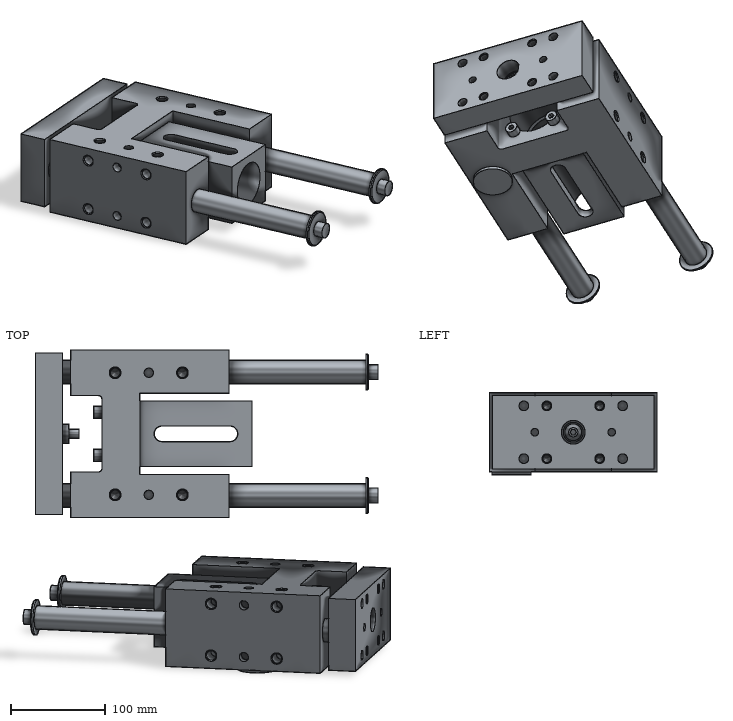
import cadquery as cq
import math


PLATE_LENGTH = 29.0
PLATE_WIDTH = 171.8
PLATE_HEIGHT = 78.0

HOUSING_START = 37.5
HOUSING_LENGTH = 168.0
HOUSING_WIDTH = 178.0
HOUSING_HEIGHT = 84.0
HOUSING_END = HOUSING_START + HOUSING_LENGTH

WEB_START = 70.5
WEB_END = 111.0
FRONT_POCKET_WIDTH = 80.8
FRONT_POCKET_RADIUS = 3.5
REAR_POCKET_WIDTH = 86.0
WEB_BORE_DIAMETER = 56.0

CLAMP_END = 230.0
CLAMP_WIDTH = 70.0
CLAMP_HEIGHT = 65.0
CLAMP_BORE_DIAMETER = 47.5
CLAMP_SLOT_START = 126.3
CLAMP_SLOT_END = 214.8
CLAMP_SLOT_WIDTH = 16.5

WEB_SCREW_OFFSET = 23.0
WEB_SCREW_HEAD_DIAMETER = 13.0
WEB_SCREW_HEAD_LENGTH = 8.7
WEB_SCREW_SOCKET_DIAMETER = 6.0
WEB_SCREW_SOCKET_DEPTH = 4.5

COVER_X = 111.0
COVER_DIAMETER = 41.5
COVER_THICKNESS = 3.3

TOTAL_LENGTH = 364.0
ROD_OFFSET = 65.5
ROD_DIAMETER = 25.0
WASHER_START = 351.0
WASHER_THICKNESS = 3.0
WASHER_DIAMETER = 38.0
WASHER_CHAMFER = 1.0
ROD_SCREW_HEAD_DIAMETER = 16.0

HOLE_ROW_X = 120.5
HOLE_ROW_PITCH = 35.5
TOP_HOLE_OFFSET = 64.8
HOLE_OFFSET_Z = 28.0
TAP_DIAMETER = 10.2
TAP_MOUTH_DIAMETER = 12.5
TAP_DEPTH = 22.0
DOWEL_DIAMETER = 10.0
DOWEL_DEPTH = 11.0

PLATE_HOLE_OFFSET_Y = 52.5
PLATE_HOLE_DIAMETER = 10.2
PLATE_HOLE_DEPTH = 14.5
PLATE_TAP_OFFSET_Y = 28.0
PLATE_TAP_DIAMETER = 8.5
PLATE_TAP_MOUTH_DIAMETER = 10.2
PLATE_TAP_DEPTH = 18.2
PLATE_DOWEL_OFFSET_Y = 40.8
PLATE_DOWEL_DIAMETER = 8.0
PLATE_DOWEL_DEPTH = 11.0

RECESS_DIAMETER = 25.0
RECESS_STEP_DIAMETER = 21.0
RECESS_DEPTH = 18.2
RECESS_STEP_DEPTH = 22.0
SCREW_HEAD_DIAMETER = 18.0
SCREW_FACE_DIAMETER = 10.0
SCREW_FACE_DEPTH = 11.0
SCREW_CONE_LENGTH = 4.5
SCREW_SOCKET_DIAMETER = 6.5
SCREW_SOCKET_DEPTH = 3.5
COUPLING_DIAMETER = 20.7
COUPLING_LENGTH = 6.5
COUPLING_TIP_DIAMETER = 10.0
COUPLING_TIP_END = 46.5

DRILL_POINT_ANGLE = 118.0
HEXAGON_SIDES = 6

SIDES = (-1, 1)


def box(x_start, x_end, width, height):
    """Block between two X positions, centred on Y = Z = 0."""
    return cq.Workplane("XY", origin=(x_start, 0, 0)).box(
        x_end - x_start, width, height, centered=(False, True, True)
    )


def rod(diameter, x_start, x_end, y=0, z=0):
    """Cylinder along X between two X positions."""
    return cq.Workplane("YZ", origin=(x_start, y, z)).circle(diameter / 2).extrude(x_end - x_start)


def cylinder(base, direction, diameter, length):
    """Cylinder in any direction, used for flat-bottomed holes and the round cover."""
    return cq.Workplane(cq.Solid.makeCylinder(diameter / 2, length, cq.Vector(*base), cq.Vector(*direction)))


def tapped_hole(mouth, direction, diameter, mouth_diameter, depth):
    """Cutter for a drilled hole with a 45 degree countersink and a conical bottom."""
    mouth = cq.Vector(*mouth)
    direction = cq.Vector(*direction)
    radius = diameter / 2
    sink_depth = (mouth_diameter - diameter) / 2
    point_depth = radius / math.tan(math.radians(DRILL_POINT_ANGLE / 2))
    shaft = cq.Solid.makeCylinder(radius, depth, mouth, direction)
    sink = cq.Solid.makeCone(mouth_diameter / 2, radius, sink_depth, mouth, direction)
    point = cq.Solid.makeCone(radius, 0, point_depth, mouth + direction * depth, direction)
    return cq.Workplane(shaft).union(cq.Workplane(sink)).union(cq.Workplane(point))


def housing_hole_row(body, place, direction):
    """Cut a dowel hole between two tapped holes; place(x) gives the mouth of a hole."""
    body = body.cut(cylinder(place(HOLE_ROW_X), direction, DOWEL_DIAMETER, DOWEL_DEPTH))
    for side in SIDES:
        mouth = place(HOLE_ROW_X + side * HOLE_ROW_PITCH)
        body = body.cut(tapped_hole(mouth, direction, TAP_DIAMETER, TAP_MOUTH_DIAMETER, TAP_DEPTH))
    return body


def make_web_screw(y, z):
    """Screw head with a hexagon socket, standing on the front of the web."""
    head_start = WEB_START - WEB_SCREW_HEAD_LENGTH
    socket = (
        cq.Workplane("YZ", origin=(head_start, y, z))
        .polygon(HEXAGON_SIDES, WEB_SCREW_SOCKET_DIAMETER)
        .extrude(WEB_SCREW_SOCKET_DEPTH)
    )
    return rod(WEB_SCREW_HEAD_DIAMETER, head_start, WEB_START, y, z).cut(socket)


def make_housing():
    """H-shaped housing with its clamp block, screws and cover."""
    front_pocket = (
        box(HOUSING_START, WEB_START, FRONT_POCKET_WIDTH, HOUSING_HEIGHT)
        .edges("|Z and >X")
        .fillet(FRONT_POCKET_RADIUS)
    )
    rear_pocket = box(WEB_END, HOUSING_END, REAR_POCKET_WIDTH, HOUSING_HEIGHT)
    body = box(HOUSING_START, HOUSING_END, HOUSING_WIDTH, HOUSING_HEIGHT).cut(front_pocket).cut(rear_pocket)

    body = body.union(box(WEB_END, CLAMP_END, CLAMP_WIDTH, CLAMP_HEIGHT))
    body = body.cut(rod(CLAMP_BORE_DIAMETER, WEB_START, CLAMP_END))
    body = body.cut(rod(WEB_BORE_DIAMETER, WEB_START, WEB_END))
    slot = (
        cq.Workplane("XY", origin=((CLAMP_SLOT_START + CLAMP_SLOT_END) / 2, 0, 0))
        .slot2D(CLAMP_SLOT_END - CLAMP_SLOT_START, CLAMP_SLOT_WIDTH)
        .extrude(CLAMP_HEIGHT / 2, both=True)
    )
    body = body.cut(slot)

    for y_side in SIDES:
        for z_side in SIDES:
            body = body.union(make_web_screw(y_side * WEB_SCREW_OFFSET, z_side * WEB_SCREW_OFFSET))

    cover = cylinder((COVER_X, ROD_OFFSET, -HOUSING_HEIGHT / 2), (0, 0, -1), COVER_DIAMETER, COVER_THICKNESS)
    body = body.union(cover)

    for side in SIDES:
        body = body.cut(rod(ROD_DIAMETER, HOUSING_START, HOUSING_END, side * ROD_OFFSET))
        top_y = side * TOP_HOLE_OFFSET
        body = housing_hole_row(body, lambda x: (x, top_y, HOUSING_HEIGHT / 2), (0, 0, -1))
        for z_side in SIDES:
            wall_z = z_side * HOLE_OFFSET_Z
            body = housing_hole_row(body, lambda x: (x, side * HOUSING_WIDTH / 2, wall_z), (0, -side, 0))
    return body


def make_coupling_screw():
    """Conical screw head in the plate recess, and the coupling disc and tip behind the plate."""
    cone_end = SCREW_FACE_DEPTH + SCREW_CONE_LENGTH
    cone = (
        cq.Workplane("YZ", origin=(SCREW_FACE_DEPTH, 0, 0))
        .circle(SCREW_FACE_DIAMETER / 2)
        .workplane(offset=SCREW_CONE_LENGTH)
        .circle(SCREW_HEAD_DIAMETER / 2)
        .loft()
    )
    socket = (
        cq.Workplane("YZ", origin=(SCREW_FACE_DEPTH, 0, 0))
        .polygon(HEXAGON_SIDES, SCREW_SOCKET_DIAMETER)
        .extrude(SCREW_SOCKET_DEPTH)
    )
    head = cone.union(rod(SCREW_HEAD_DIAMETER, cone_end, RECESS_STEP_DEPTH)).cut(socket)
    disc_end = PLATE_LENGTH + COUPLING_LENGTH
    disc = rod(COUPLING_DIAMETER, PLATE_LENGTH, disc_end)
    tip = rod(COUPLING_TIP_DIAMETER, disc_end, COUPLING_TIP_END)
    return head, disc.union(tip)


def make_carriage():
    """Tool plate with its two guide rods."""
    body = box(0, PLATE_LENGTH, PLATE_WIDTH, PLATE_HEIGHT)

    inward = (1, 0, 0)
    for y_side in SIDES:
        dowel_mouth = (0, y_side * PLATE_DOWEL_OFFSET_Y, 0)
        body = body.cut(cylinder(dowel_mouth, inward, PLATE_DOWEL_DIAMETER, PLATE_DOWEL_DEPTH))
        for z_side in SIDES:
            z = z_side * HOLE_OFFSET_Z
            hole_mouth = (0, y_side * PLATE_HOLE_OFFSET_Y, z)
            tap_mouth = (0, y_side * PLATE_TAP_OFFSET_Y, z)
            body = body.cut(cylinder(hole_mouth, inward, PLATE_HOLE_DIAMETER, PLATE_HOLE_DEPTH))
            body = body.cut(
                tapped_hole(tap_mouth, inward, PLATE_TAP_DIAMETER, PLATE_TAP_MOUTH_DIAMETER, PLATE_TAP_DEPTH)
            )

    body = body.cut(rod(RECESS_DIAMETER, 0, RECESS_DEPTH))
    body = body.cut(rod(RECESS_STEP_DIAMETER, RECESS_DEPTH, RECESS_STEP_DEPTH))
    screw_head, coupling = make_coupling_screw()
    body = body.union(screw_head).union(coupling)

    washer_end = WASHER_START + WASHER_THICKNESS
    for side in SIDES:
        y = side * ROD_OFFSET
        washer = rod(WASHER_DIAMETER, WASHER_START, washer_end, y).faces(">X").chamfer(WASHER_CHAMFER)
        body = body.union(rod(ROD_DIAMETER, PLATE_LENGTH, WASHER_START, y))
        body = body.union(washer)
        body = body.union(rod(ROD_SCREW_HEAD_DIAMETER, washer_end, TOTAL_LENGTH, y))
    return body


housing = make_housing()
carriage = make_carriage()

result = cq.Compound.makeCompound([housing.val(), carriage.val()])